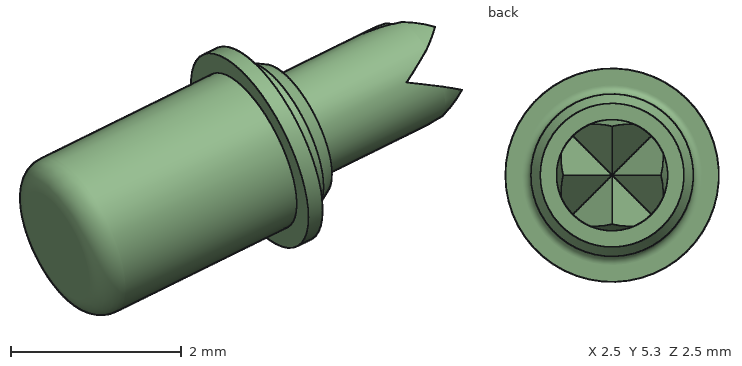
import cadquery as cq
import math


body_radius = 1.0
body_length = 2.7
body_end_fillet = 0.3

flange_radius = 1.25
flange_thickness = 0.2

collar_radius = 0.95
collar_length = 0.4
collar_root_fillet = 0.1
collar_chamfer_length = 0.19
collar_chamfer_angle = 30.0

plunger_radius = 0.65
plunger_length = 2.0
crown_taper_length = 0.29
crown_taper_angle = 15.0

groove_angle = 60.0
first_groove_direction = 45.0
groove_directions = (first_groove_direction, first_groove_direction + 90.0)

flange_top = flange_thickness
collar_top = flange_top + collar_length
plunger_top = collar_top + plunger_length

crown_tip_radius = plunger_radius - crown_taper_length * math.tan(math.radians(crown_taper_angle))
groove_half_width = crown_tip_radius * math.sin(math.radians(first_groove_direction))
groove_depth = groove_half_width / math.tan(math.radians(groove_angle / 2))


def make_body():
    """Cylindrical body with a rounded free end."""
    body = cq.Workplane("XZ").circle(body_radius).extrude(body_length)
    return body.faces("<Y").edges().fillet(body_end_fillet)


def make_flange():
    """Thin disc above the body."""
    return cq.Workplane("XZ").circle(flange_radius).extrude(-flange_thickness)


def make_collar():
    """Turned collar with a concave root fillet and a chamfered top."""
    chamfer_depth = collar_chamfer_length * math.tan(math.radians(collar_chamfer_angle))
    root_fillet_top = flange_top + collar_root_fillet
    fillet_center_radius = collar_radius + collar_root_fillet
    fillet_offset = collar_root_fillet * math.sin(math.radians(45.0))
    profile = (
        cq.Workplane("XY")
        .moveTo(0, flange_top)
        .lineTo(fillet_center_radius, flange_top)
        .threePointArc(
            (fillet_center_radius - fillet_offset, root_fillet_top - fillet_offset),
            (collar_radius, root_fillet_top),
        )
        .lineTo(collar_radius, collar_top - collar_chamfer_length)
        .lineTo(collar_radius - chamfer_depth, collar_top)
        .lineTo(0, collar_top)
        .close()
    )
    return profile.revolve(360, (0, 0, 0), (0, 1, 0))


def make_plunger():
    """Round plunger with a slightly tapered free end."""
    profile = (
        cq.Workplane("XY")
        .moveTo(0, collar_top)
        .lineTo(plunger_radius, collar_top)
        .lineTo(plunger_radius, plunger_top - crown_taper_length)
        .lineTo(crown_tip_radius, plunger_top)
        .lineTo(0, plunger_top)
        .close()
    )
    return profile.revolve(360, (0, 0, 0), (0, 1, 0))


def make_crown_groove(direction):
    """V-groove across the plunger end, turned about the pin axis by the given angle."""
    groove = (
        cq.Workplane("XY")
        .moveTo(-groove_half_width, plunger_top)
        .lineTo(0, plunger_top - groove_depth)
        .lineTo(groove_half_width, plunger_top)
        .close()
        .extrude(2 * plunger_radius, both=True)
    )
    return groove.rotate((0, 0, 0), (0, 1, 0), direction)


plunger = make_plunger()
for groove_direction in groove_directions:
    plunger = plunger.cut(make_crown_groove(groove_direction))

result = make_body().union(make_flange()).union(make_collar()).union(plunger)